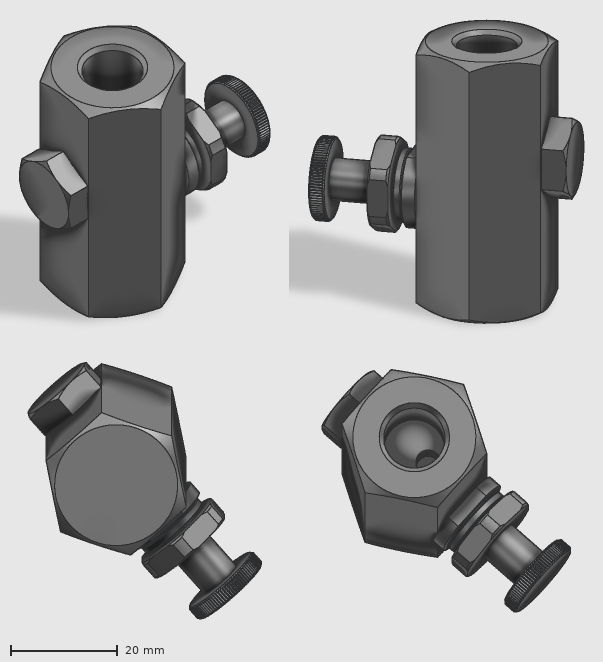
import cadquery as cq
import math


BODY_HEIGHT = 52.0
BODY_CORNERS = 27.7
BODY_END_CIRCLE = 23.05
HEX_CHAMFER_ANGLE = 30.0
BODY_HALF_FLATS = BODY_CORNERS / 2 * math.cos(math.pi / 6)

PORT_DIAMETER = 11.45
PORT_DEPTH = 12.5
PORT_MOUTH = 13.15
PASSAGE_DIAMETER = 4.5
PASSAGE_DEPTH = 6.25
PASSAGE_OFFSET = (PORT_DIAMETER - PASSAGE_DIAMETER) / 2

SIDE_AXIS_OFFSET = 4.0
SCREW_Z = -SIDE_AXIS_OFFSET
PLUG_Z = SIDE_AXIS_OFFSET

PLUG_FLATS = 14.0
PLUG_END = 17.0
WASHER_FACE_DIAMETER = 13.8
WASHER_FACE_THICKNESS = 0.2

COLLAR_DIAMETER = 16.0
COLLAR_FLATS = 14.0
COLLAR_END = 14.5
NECK_DIAMETER = 11.0
RING_DIAMETER = 14.0
RING_START = 15.0
RING_END = 16.5
RING_CHAMFER = 0.2
NUT_FLATS = 17.0
NUT_DIAMETER = 18.5
NUT_START = 17.0
NUT_END = 21.0
NUT_CHAMFER = 0.4
STEM_DIAMETER = 8.0

KNOB_DIAMETER = 16.0
KNOB_START = 29.5
KNOB_END = 32.5
KNOB_CHAMFER = 0.4
KNURL_COUNT = 90
KNURL_DEPTH = 0.25


def along_y(start, axis_z):
    """Workplane at Y = start facing +Y, with local X along +X and local Y along -Z."""
    return cq.Workplane(cq.Plane((0, start, axis_z), xDir=(1, 0, 0), normal=(0, 1, 0)))


def cylinder_y(diameter, start, end, axis_z):
    return along_y(start, axis_z).circle(diameter / 2).extrude(end - start)


def hex_corners(flats):
    return flats / math.cos(math.pi / 6)


def hexagon_y(flats, start, end, axis_z):
    """Hexagonal prism along Y with corners toward +Z and -Z."""
    profile_plane = along_y(start, axis_z).transformed(rotate=(0, 0, 90))
    return profile_plane.polygon(6, hex_corners(flats)).extrude(end - start)


def cone_chamfer_height(corners, end_circle):
    return (corners - end_circle) / 2 * math.tan(math.radians(HEX_CHAMFER_ANGLE))


def make_body():
    half = BODY_HEIGHT / 2
    prism = cq.Workplane("XY").polygon(6, BODY_CORNERS).extrude(half, both=True)
    chamfer_height = cone_chamfer_height(BODY_CORNERS, BODY_END_CIRCLE)
    envelope = (
        cq.Workplane("XZ")
        .moveTo(0, -half)
        .lineTo(BODY_END_CIRCLE / 2, -half)
        .lineTo(BODY_CORNERS / 2, chamfer_height - half)
        .lineTo(BODY_CORNERS / 2, half - chamfer_height)
        .lineTo(BODY_END_CIRCLE / 2, half)
        .lineTo(0, half)
        .close()
        .revolve(360, (0, 0), (0, 1))
    )
    return prism.intersect(envelope)


def make_port():
    """Port with a 45 degree mouth; the passage in its floor is tangent to its +Y wall."""
    half = BODY_HEIGHT / 2
    mouth_depth = (PORT_MOUTH - PORT_DIAMETER) / 2
    bore = (
        cq.Workplane("XZ")
        .moveTo(0, half)
        .lineTo(PORT_MOUTH / 2, half)
        .lineTo(PORT_DIAMETER / 2, half - mouth_depth)
        .lineTo(PORT_DIAMETER / 2, half - PORT_DEPTH)
        .lineTo(0, half - PORT_DEPTH)
        .close()
        .revolve(360, (0, 0), (0, 1))
    )
    passage = (
        cq.Workplane("XY", origin=(0, PASSAGE_OFFSET, half - PORT_DEPTH))
        .circle(PASSAGE_DIAMETER / 2)
        .extrude(-PASSAGE_DEPTH)
    )
    return bore.union(passage)


def make_plug():
    """Hexagonal plug with its outer end chamfered to the flats."""
    head_start = -BODY_HALF_FLATS - WASHER_FACE_THICKNESS
    corners = hex_corners(PLUG_FLATS)
    chamfer_height = cone_chamfer_height(corners, PLUG_FLATS)
    hexagon = hexagon_y(PLUG_FLATS, -PLUG_END, head_start, PLUG_Z)
    envelope = (
        cylinder_y(corners, -PLUG_END, head_start, PLUG_Z)
        .faces("<Y")
        .chamfer(chamfer_height, (corners - PLUG_FLATS) / 2)
    )
    washer_face = cylinder_y(WASHER_FACE_DIAMETER, head_start, -BODY_HALF_FLATS, PLUG_Z)
    return hexagon.intersect(envelope).union(washer_face)


def make_collar():
    """Round collar with two flats facing +Z and -Z."""
    thickness = COLLAR_END - BODY_HALF_FLATS
    flats = along_y(BODY_HALF_FLATS, SCREW_Z).rect(COLLAR_DIAMETER, COLLAR_FLATS).extrude(thickness)
    return cylinder_y(COLLAR_DIAMETER, BODY_HALF_FLATS, COLLAR_END, SCREW_Z).intersect(flats)


def make_nut():
    """Lock nut turned round at the corners, with both rims chamfered."""
    hexagon = hexagon_y(NUT_FLATS, NUT_START, NUT_END, SCREW_Z)
    envelope = cylinder_y(NUT_DIAMETER, NUT_START, NUT_END, SCREW_Z).edges("%CIRCLE").chamfer(NUT_CHAMFER)
    return hexagon.intersect(envelope)


def make_knob():
    """Knob with straight V-shaped knurls and both rims chamfered."""
    crest = KNOB_DIAMETER / 2
    root = crest - KNURL_DEPTH
    outline = []
    for i in range(2 * KNURL_COUNT):
        angle = math.pi * i / KNURL_COUNT
        radius = crest if i % 2 == 0 else root
        outline.append((radius * math.cos(angle), radius * math.sin(angle)))
    knurled = along_y(KNOB_START, SCREW_Z).polyline(outline).close().extrude(KNOB_END - KNOB_START)
    blank = cylinder_y(KNOB_DIAMETER, KNOB_START, KNOB_END, SCREW_Z)
    return knurled.intersect(blank.edges("%CIRCLE").chamfer(KNOB_CHAMFER))


def make_screw():
    neck = cylinder_y(NECK_DIAMETER, COLLAR_END, NUT_START, SCREW_Z)
    ring = cylinder_y(RING_DIAMETER, RING_START, RING_END, SCREW_Z).edges("%CIRCLE").chamfer(RING_CHAMFER)
    stem = cylinder_y(STEM_DIAMETER, NUT_END, KNOB_START, SCREW_Z)
    return make_collar().union(neck).union(ring).union(make_nut()).union(stem).union(make_knob())


result = make_body().cut(make_port()).union(make_plug()).union(make_screw())